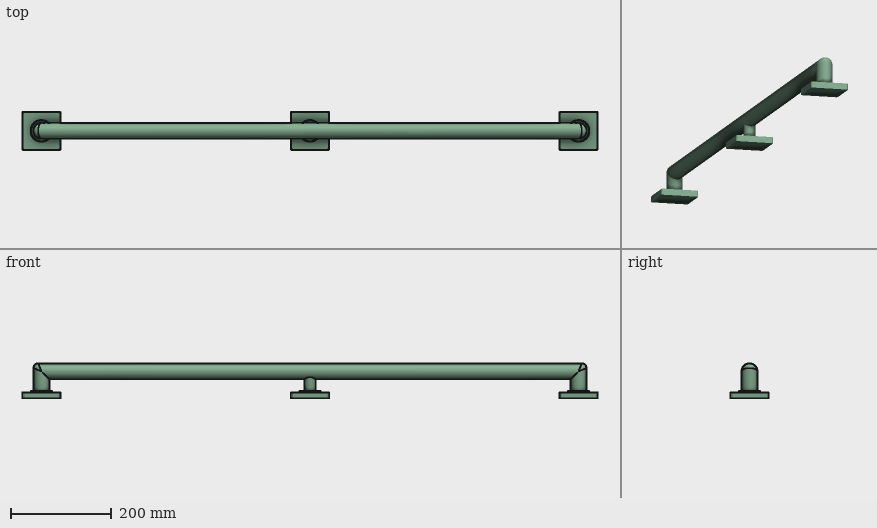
import cadquery as cq
import math

length = 1143.0
plate_side = 77.0
height = 70.0

plate_height = 13.0
plate_corner_radius = 3.0
plate_edge_chamfer = 1.0

collar_diameter = 43.0
collar_height = 2.0
collar_chamfer = 1.0

rail_diameter = 32.0
rail_radius = rail_diameter / 2
center_post_diameter = 23.0
corner_radius = 9.0
wedge_clearance = 0.3

core_radius = rail_radius - corner_radius
rail_z = height - rail_radius
end_post_x = (length - plate_side) / 2


def mounting_plate(x):
    """Square plate with a round collar, centred at x and standing on Z = 0."""
    plate = (
        cq.Workplane("XY")
        .box(plate_side, plate_side, plate_height, centered=(True, True, False))
        .edges("|Z")
        .fillet(plate_corner_radius)
        .faces(">Z")
        .edges()
        .chamfer(plate_edge_chamfer)
    )
    collar = (
        cq.Workplane("XY")
        .circle(collar_diameter / 2)
        .extrude(plate_height + collar_height)
        .faces(">Z")
        .edges()
        .chamfer(collar_chamfer)
    )
    return plate.union(collar).translate((x, 0, 0))


def mitred_tube(radius):
    """A solid round bar following the end posts and rail, with mitred corners."""
    path = (
        cq.Workplane("XZ")
        .moveTo(-end_post_x, 0)
        .lineTo(-end_post_x, rail_z)
        .lineTo(end_post_x, rail_z)
        .lineTo(end_post_x, 0)
    )
    profile = cq.Workplane("XY").center(-end_post_x, 0).circle(radius)
    return profile.sweep(path, transition="right")


def corner_wedge(side):
    """Outer wedge of a mitred corner, bounded by the edges of its rounding."""
    spread = rail_radius * 2
    pinch = spread * (core_radius - wedge_clearance) / rail_radius
    return (
        cq.Workplane("XZ", origin=(side * end_post_x, 0, rail_z))
        .polyline([(0, 0), (side * pinch, spread), (side * spread, spread), (side * spread, pinch)])
        .close()
        .extrude(spread, both=True)
    )


def corner_rounding(side):
    """Envelope of a ball rolled along the inside of the outer mitre edge."""
    mitre_plane = cq.Plane(
        origin=(side * end_post_x, 0, rail_z),
        xDir=(0, 1, 0),
        normal=(1, 0, -side),
    )
    path = cq.Workplane(mitre_plane).ellipseArc(
        core_radius, core_radius * math.sqrt(2), 0, 180, startAtCurrent=False
    )
    profile = cq.Workplane(
        cq.Plane(
            origin=(side * end_post_x, core_radius, rail_z),
            xDir=(0, 1, 0),
            normal=(side, 0, 1),
        )
    ).circle(corner_radius)
    return profile.sweep(path)


def center_post():
    """Slim post joining the middle plate to the rail."""
    return cq.Workplane("XY").circle(center_post_diameter / 2).extrude(rail_z)


result = mitred_tube(rail_radius)
for side in (-1, 1):
    result = result.cut(corner_wedge(side))
result = result.union(mitred_tube(core_radius))
for side in (-1, 1):
    result = result.union(corner_rounding(side))
result = result.union(center_post())
for plate_x in (-end_post_x, 0, end_post_x):
    result = result.union(mounting_plate(plate_x))